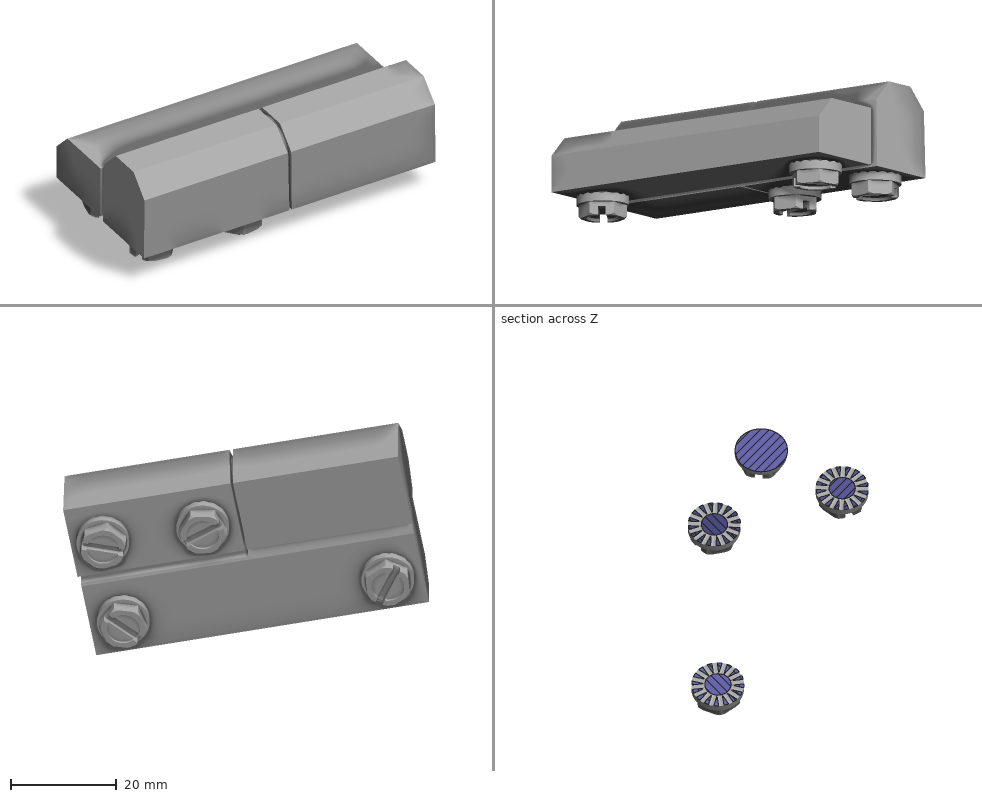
import cadquery as cq
import math


overall_width = 32.5
front_y = -32.15
back_y = 32.15
draft_angle = 1.0
draft = math.tan(math.radians(draft_angle))

knuckle_left = 17.55
knuckle_height = 17.0
knuckle_chamfer = 4.1
knuckle_top_width = 6.5
knuckle_top_left = knuckle_left + knuckle_chamfer
knuckle_top_right = knuckle_top_left + knuckle_top_width
shoulder_z = knuckle_height - knuckle_chamfer
shoulder_right = overall_width - shoulder_z * draft

plate_front = -31.85
plate_back = 32.05
plate_width = 16.0
plate_height = 11.0
plate_chamfer = 4.0
web_fillet = 0.95
notch_fillet = 0.8
relief_start = 15.4
relief_rise = 0.65

long_knuckle_front = 0.45
spacer_diameter = 13.0
spacer_thickness = 0.5
spacer_x = (knuckle_left + overall_width) / 2
spacer_z = 10.05
short_leaf_back = long_knuckle_front - spacer_thickness

shank_diameter = 5.0
shank_length = 6.45
flange_diameter = 10.0
flange_height = 1.7
head_across_flats = 8.0
head_tip_diameter = 8.35
head_chamfer_height = 0.4
head_height = 2.5
slot_width = 1.5
slot_depth = 1.6
recess_diameter = 6.2
recess_depth = 0.6
serration_count = 16
serration_width = 1.4
serration_depth = 0.25
screw_gap = 0.5

long_leaf_screw_x = 7.45
short_leaf_screw_x = spacer_x
long_leaf_screws = [
    (long_leaf_screw_x, 25.55, screw_gap, 35),
    (long_leaf_screw_x, -25.3, screw_gap, -42),
]
short_leaf_screws = [
    (short_leaf_screw_x, -6.75, screw_gap, 70),
    (short_leaf_screw_x, -25.9, 0.0, -69),
]


def extrude_along_y(points, y_start, y_end):
    """Extrude an (x, z) outline from y_start to y_end."""
    outline = cq.Workplane("XZ", origin=(0, y_end, 0)).polyline(points).close()
    return outline.extrude(y_end - y_start)


def make_knuckle(y_start, y_end):
    """Bar with two top chamfers and a drafted right side."""
    return extrude_along_y(
        [
            (knuckle_left, 0),
            (overall_width, 0),
            (shoulder_right, shoulder_z),
            (knuckle_top_right, knuckle_height),
            (knuckle_top_left, knuckle_height),
            (knuckle_left, shoulder_z),
        ],
        y_start,
        y_end,
    )


def cut_screw_holes(leaf, screws):
    """Cut the shanks' blind holes into the underside of a leaf."""
    for x, y, gap, _ in screws:
        hole = cq.Workplane("XY").center(x, y).circle(shank_diameter / 2).extrude(shank_length - gap)
        leaf = leaf.cut(hole)
    return leaf


def make_long_leaf():
    plate = extrude_along_y(
        [
            (0, 0),
            (relief_start, 0),
            (knuckle_left, relief_rise),
            (knuckle_left, plate_height),
            (plate_chamfer, plate_height),
            (0, plate_height - plate_chamfer),
        ],
        plate_front,
        plate_back,
    )
    notch = (
        cq.Workplane("XY")
        .moveTo(plate_width, plate_front)
        .lineTo(knuckle_left, plate_front)
        .lineTo(knuckle_left, long_knuckle_front)
        .lineTo(plate_width + notch_fillet, long_knuckle_front)
        .radiusArc((plate_width, long_knuckle_front - notch_fillet), -notch_fillet)
        .close()
        .extrude(plate_height)
    )
    plate = plate.cut(notch)
    web_corner = (
        cq.Workplane("XZ", origin=(0, plate_back, 0))
        .moveTo(knuckle_left - web_fillet, plate_height)
        .lineTo(knuckle_left, plate_height)
        .lineTo(knuckle_left, plate_height + web_fillet)
        .radiusArc((knuckle_left - web_fillet, plate_height), web_fillet)
        .close()
        .extrude(plate_back - long_knuckle_front)
    )
    knuckle = make_knuckle(long_knuckle_front, back_y)
    leaf = plate.union(knuckle).union(web_corner)
    return cut_screw_holes(leaf, long_leaf_screws)


def make_short_leaf():
    """Knuckle whose two end faces lean inwards towards the top."""
    end_lean = knuckle_height * draft
    drafted_ends = (
        cq.Workplane("YZ")
        .polyline([
            (front_y, 0),
            (short_leaf_back, 0),
            (short_leaf_back - end_lean, knuckle_height),
            (front_y + end_lean, knuckle_height),
        ])
        .close()
        .extrude(overall_width)
    )
    knuckle = make_knuckle(front_y, short_leaf_back)
    return cut_screw_holes(knuckle.intersect(drafted_ends), short_leaf_screws)


def make_spacer():
    """Plain disc between the two knuckles."""
    centre = (spacer_x, long_knuckle_front, spacer_z)
    return cq.Workplane("XZ", origin=centre).circle(spacer_diameter / 2).extrude(spacer_thickness)


def make_serrated_flange():
    """Disc below z = 0 with radial V-grooves in its upper face."""
    flange = cq.Workplane("XY").circle(flange_diameter / 2).extrude(-flange_height)
    groove = (
        cq.Workplane("YZ")
        .polyline([(-serration_width / 2, 0), (serration_width / 2, 0), (0, -serration_depth)])
        .close()
        .extrude(flange_diameter / 2)
    )
    for index in range(serration_count):
        flange = flange.cut(groove.rotate((0, 0, 0), (0, 0, 1), index * 360 / serration_count))
    return flange


def make_screw(x, y, gap, slot_angle):
    """Slotted hexagon screw with a flange, head down."""
    shank = (
        cq.Workplane("XY", origin=(0, 0, -flange_height))
        .circle(shank_diameter / 2)
        .extrude(flange_height + shank_length)
    )
    flange = make_serrated_flange()
    head_bottom = -flange_height - head_height
    head = (
        cq.Workplane("XY", origin=(0, 0, head_bottom))
        .polygon(6, head_across_flats, circumscribed=True)
        .extrude(head_height)
    )
    corner_radius = head_across_flats / math.sqrt(3)
    head_envelope = (
        cq.Workplane("XZ")
        .polyline([
            (0, head_bottom),
            (head_tip_diameter / 2, head_bottom),
            (corner_radius, head_bottom + head_chamfer_height),
            (corner_radius, -flange_height),
            (0, -flange_height),
        ])
        .close()
        .revolve(360, (0, 0, 0), (0, 1, 0))
    )
    slot = (
        cq.Workplane("XY", origin=(0, 0, head_bottom))
        .rect(2 * corner_radius, slot_width)
        .extrude(slot_depth)
    )
    recess = (
        cq.Workplane("XY", origin=(0, 0, head_bottom))
        .circle(recess_diameter / 2)
        .extrude(recess_depth)
    )
    head = head.intersect(head_envelope).cut(slot).cut(recess)
    screw = shank.union(flange).union(head)
    return screw.rotate((0, 0, 0), (0, 0, 1), slot_angle).translate((x, y, -gap))


long_leaf = make_long_leaf()
short_leaf = make_short_leaf()
spacer = make_spacer()
screws = [make_screw(*placement) for placement in long_leaf_screws + short_leaf_screws]

result = cq.Compound.makeCompound([
    long_leaf.val(),
    short_leaf.val(),
    spacer.val(),
    *[screw.val() for screw in screws],
])